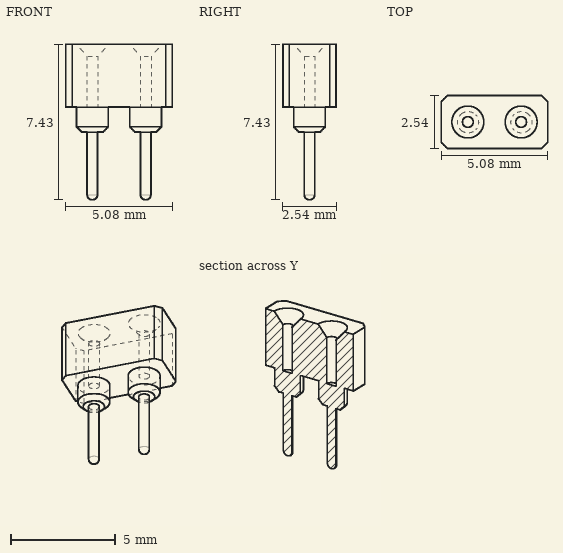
import cadquery as cq
import math

total_height = 7.43
pitch = 2.54
contact_count = 2

body_length = contact_count * pitch
body_width = pitch
body_height = 3.0
corner_chamfer = 0.305

collar_diameter = 1.52
collar_height = 1.195
collar_chamfer = 0.25
pin_diameter = 0.51

funnel_depth = 0.58

collar_radius = collar_diameter / 2
pin_radius = pin_diameter / 2
body_bottom = total_height - body_height
collar_bottom = body_bottom - collar_height
funnel_bottom = total_height - funnel_depth


def make_body():
    """Rectangular block with its four vertical edges chamfered."""
    block = cq.Workplane("XY", origin=(0, 0, body_bottom)).rect(body_length, body_width).extrude(body_height)
    return block.edges("|Z").chamfer(corner_chamfer)


def make_contact():
    """Collar with a chamfered lower rim and a round-tipped pin, on the Z axis."""
    dome_offset = pin_radius * math.sin(math.radians(45))
    profile = (
        cq.Workplane("XZ")
        .moveTo(0, 0)
        .threePointArc((dome_offset, pin_radius - dome_offset), (pin_radius, pin_radius))
        .lineTo(pin_radius, collar_bottom)
        .lineTo(collar_radius - collar_chamfer, collar_bottom)
        .lineTo(collar_radius, collar_bottom + collar_chamfer)
        .lineTo(collar_radius, body_bottom)
        .lineTo(0, body_bottom)
        .close()
    )
    return profile.revolve(360, (0, 0, 0), (0, 1, 0))


def make_entry():
    """Void of the funnel and the straight bore under it, ending level with the body bottom."""
    profile = (
        cq.Workplane("XZ")
        .moveTo(0, body_bottom)
        .lineTo(pin_radius, body_bottom)
        .lineTo(pin_radius, funnel_bottom)
        .lineTo(collar_radius, total_height)
        .lineTo(0, total_height)
        .close()
    )
    return profile.revolve(360, (0, 0, 0), (0, 1, 0))


result = make_body()
for index in range(contact_count):
    x = (index - (contact_count - 1) / 2) * pitch
    result = result.union(make_contact().translate((x, 0, 0)))
    result = result.cut(make_entry().translate((x, 0, 0)))